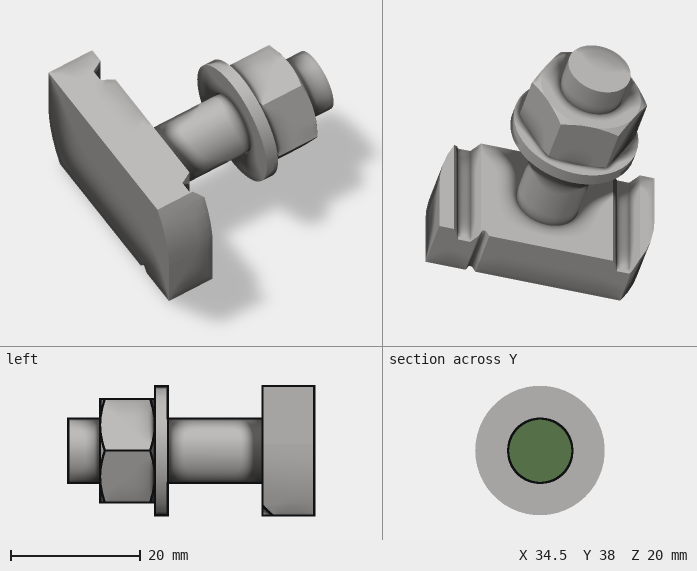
import cadquery as cq
import math


HEAD_WIDTH = 34.5
HEAD_HEIGHT = 20.0
HEAD_THICKNESS = 8.0
CORNER_RADIUS = 20.0
CORNER_TANGENT_HEIGHT = 1.0
FLANK_SLOPE = math.tan(math.radians(30))

GROOVE_OFFSET = 12.73
GROOVE_DEPTH = 2.0
GROOVE_MOUTH = 4.3

NOTCH_X = 10.05
NOTCH_DEPTH = 1.0
NOTCH_MOUTH = 1.6

BOLT_LENGTH = 38.0
SHANK_DIAMETER = 10.0
WASHER_START = 22.6
WASHER_THICKNESS = 2.0
WASHER_DIAMETER = 20.0
WASHER_BORE = 10.5
NUT_START = WASHER_START + WASHER_THICKNESS
NUT_HEIGHT = 8.45
NUT_ACROSS_FLATS = 16.0
NUT_ACROSS_CORNERS = NUT_ACROSS_FLATS / math.cos(math.radians(30))
NUT_CHAMFER_ANGLE = 30.0


def plane_at(y):
    """Plane normal to the bolt axis, extruding toward +Y."""
    return cq.Plane(origin=(0, y, 0), xDir=(-1, 0, 0), normal=(0, 1, 0))


def cylinder(diameter, start, length):
    return cq.Workplane(plane_at(start)).circle(diameter / 2).extrude(length)


def head_blank():
    """Rectangular head with two diagonally opposite corners rounded off by tangent arcs."""
    half_width = HEAD_WIDTH / 2
    half_height = HEAD_HEIGHT / 2
    sweep = math.asin((half_height + CORNER_TANGENT_HEIGHT) / CORNER_RADIUS)

    def arc_point(angle):
        """Point on the lower left arc, at an angle past the point of tangency."""
        x = -half_width + CORNER_RADIUS * (1 - math.cos(angle))
        z = CORNER_TANGENT_HEIGHT - CORNER_RADIUS * math.sin(angle)
        return x, z

    left_start, left_middle, left_end = (arc_point(a) for a in (0, sweep / 2, sweep))
    right_start, right_middle, right_end = ((-x, -z) for x, z in (left_start, left_middle, left_end))
    return (
        cq.Workplane("XZ")
        .moveTo(-half_width, half_height)
        .lineTo(*left_start)
        .threePointArc(left_middle, left_end)
        .lineTo(half_width, -half_height)
        .lineTo(*right_start)
        .threePointArc(right_middle, right_end)
        .close()
        .extrude(-HEAD_THICKNESS)
    )


def tapered_profile(workplane, centre, mouth_level, floor_level, mouth_width):
    """Trapezoid that narrows from its mouth to its floor."""
    half_mouth = mouth_width / 2
    half_floor = half_mouth - abs(mouth_level - floor_level) * FLANK_SLOPE
    return workplane.polyline([
        (centre - half_mouth, mouth_level),
        (centre + half_mouth, mouth_level),
        (centre + half_floor, floor_level),
        (centre - half_floor, floor_level),
    ]).close()


def face_groove(centre):
    floor = HEAD_THICKNESS - GROOVE_DEPTH
    profile = tapered_profile(cq.Workplane("XY"), centre, HEAD_THICKNESS, floor, GROOVE_MOUTH)
    return profile.extrude(HEAD_HEIGHT / 2, both=True)


def edge_notch():
    bottom = -HEAD_HEIGHT / 2
    profile = tapered_profile(cq.Workplane("XZ"), NOTCH_X, bottom, bottom + NOTCH_DEPTH, NOTCH_MOUTH)
    return profile.extrude(-HEAD_THICKNESS)


def make_bolt():
    head = head_blank().cut(edge_notch())
    for centre in (-GROOVE_OFFSET, GROOVE_OFFSET):
        head = head.cut(face_groove(centre))
    shank = cylinder(SHANK_DIAMETER, HEAD_THICKNESS, BOLT_LENGTH - HEAD_THICKNESS)
    return head.union(shank)


def make_washer():
    disc = cylinder(WASHER_DIAMETER, WASHER_START, WASHER_THICKNESS)
    return disc.cut(cylinder(WASHER_BORE, WASHER_START, WASHER_THICKNESS))


def make_nut():
    """Hexagon nut with corners on the X axis, chamfered by a cone at both ends."""
    hexagon = cq.Workplane(plane_at(NUT_START)).polygon(6, NUT_ACROSS_CORNERS).extrude(NUT_HEIGHT)
    flat_radius = NUT_ACROSS_FLATS / 2
    corner_radius = NUT_ACROSS_CORNERS / 2
    chamfer = (corner_radius - flat_radius) * math.tan(math.radians(NUT_CHAMFER_ANGLE))
    nut_end = NUT_START + NUT_HEIGHT
    envelope = (
        cq.Workplane("XY")
        .polyline([
            (0, NUT_START),
            (flat_radius, NUT_START),
            (corner_radius, NUT_START + chamfer),
            (corner_radius, nut_end - chamfer),
            (flat_radius, nut_end),
            (0, nut_end),
        ])
        .close()
        .revolve(360, (0, 0, 0), (0, 1, 0))
    )
    return hexagon.intersect(envelope).cut(cylinder(SHANK_DIAMETER, NUT_START, NUT_HEIGHT))


bolt = make_bolt()
washer = make_washer()
nut = make_nut()

result = cq.Compound.makeCompound([body.solids().val() for body in (bolt, washer, nut)])